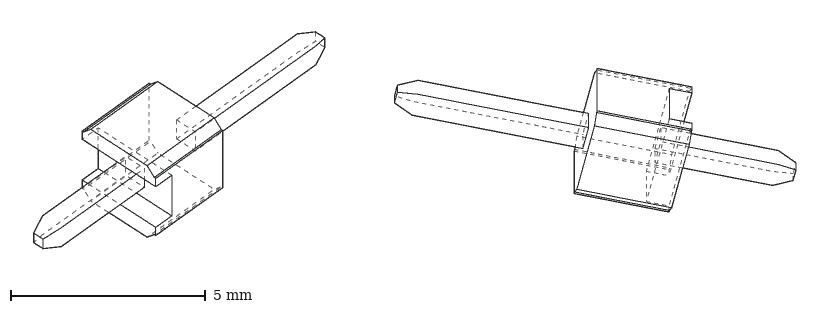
import cadquery as cq

pin_length = 10.5
pin_width = 0.66
tip_width = 0.34
tip_length = 0.5

body_width = 2.6
body_height = 2.5
body_depth = 2.5
front_pin_length = 3.0

corner_chamfer = 0.25
corner_ledge = 0.05
slot_height = 1.42
slot_depth = 0.6

front_end = -pin_length / 2
back_end = pin_length / 2
body_front = front_end + front_pin_length


def make_body():
    """Block with stepped, chamfered long edges and a slot across its front."""
    block_width = body_width - 2 * corner_ledge
    side_height = body_height - 2 * corner_chamfer
    body_center_y = body_front + body_depth / 2
    block = (
        cq.Workplane("XY")
        .box(block_width, body_depth, body_height)
        .edges("|Y")
        .chamfer(corner_chamfer)
    )
    sides = cq.Workplane("XY").box(body_width, body_depth, side_height)
    slot = (
        cq.Workplane("XY")
        .box(body_width, slot_depth, slot_height)
        .translate((0, (slot_depth - body_depth) / 2, 0))
    )
    return block.union(sides).cut(slot).translate((0, body_center_y, 0))


def make_tip(end_y, inward):
    """Tapered pin end; inward is +1 or -1, pointing along Y into the pin."""
    return (
        cq.Workplane(cq.Plane((0, end_y, 0), xDir=(1, 0, 0), normal=(0, inward, 0)))
        .rect(tip_width, tip_width)
        .workplane(offset=tip_length)
        .rect(pin_width, pin_width)
        .loft(ruled=True)
    )


def make_pin():
    """Square pin with a tapered tip at each end."""
    shank = cq.Workplane("XY").box(pin_width, pin_length - 2 * tip_length, pin_width)
    return shank.union(make_tip(front_end, 1)).union(make_tip(back_end, -1))


result = make_body().union(make_pin())